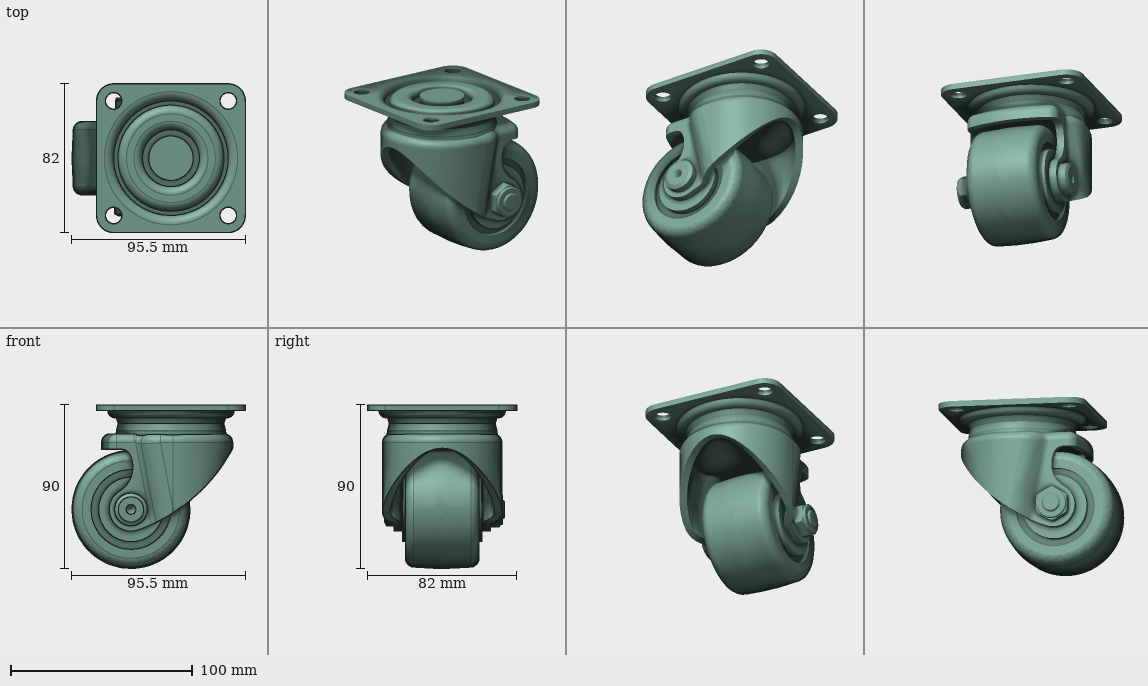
import cadquery as cq
import math


overall_length = 95.5
overall_height = 90.0

plate_side = 82.0
plate_thickness = 3.15
plate_corner_radius = 9.6
plate_hole_radius = 4.5
plate_hole_offset = 31.5

channel_depth = 3.9
channel_outer_radius = 36.7
channel_wall_radius = 31.5
dome_wall_radius = 29.2
dome_flat_radius = 24.45
well_edge_radius = 20.3
well_floor_radius = 15.7
boss_radius = 12.2
underside_radius = 34.8
underside_rounding = 3.9

neck_rim_radius = 30.1
neck_waist_radius = 29.1
neck_waist_z = -10.3
neck_band_height = 0.9
neck_flare_height = 1.0
neck_foot_depth = 1.0
neck_foot_radius = 30.4

fork_top_z = -15.9
sheet_thickness = 4.2
leg_half_width = 26.5
lip_front_x = -38.2
lip_front_radius = 78.3
lip_bottom_z = -24.45
fork_corner_radius = 5.0
fork_edge_rounding = 4.9
barrel_radius = 32.85
barrel_center_x = 1.1
shoulder_start_x = -20.3
shoulder_length = 13.7
shoulder_inner_bend = 3.7
shoulder_lean = 0.19
axle_boss_radius = 11.9

notch_lip_x = -27.1
notch_corner_middle = (-24.3, -25.4)
notch_corner_end = (-22.3, -27.8)
notch_back_middle = (-21.1, -36.5)
notch_end_angle = 122.0

lower_edge_radius = 94.5
lower_edge_start_angle = -70.5

clearance = 1.0

wheel_radius = 32.5
wheel_half_width = 20.2
wheel_edge_radius = 31.3
wheel_edge_rounding = 5.0
groove_outer_radius = 22.0
groove_depth = 2.5
hub_radius = 17.8
hub_half_width = 21.8

bolt_radius = 5.0
bolt_end_y = 34.3
bolt_end_chamfer = 0.8
bolt_head_radius = 9.0
bolt_head_height = 5.3
bolt_head_chamfer_width = 2.0
bolt_head_chamfer_height = 1.05
dimple_radius = 2.7
nut_across_flats = 17.0
nut_turn = 30.0
nut_hex_height = 5.3
nut_corner_rounding = 1.0
nut_end_chamfer_width = 1.0
nut_end_chamfer_height = 0.6
nut_collar_radius = 8.3
nut_collar_height = 1.4
nut_collar_rounding = 0.8

plate_bottom_z = -(channel_depth + plate_thickness)
axle_x = plate_side / 2 - overall_length + wheel_radius
axle_z = wheel_radius - overall_height

lower_edge_angle = math.radians(lower_edge_start_angle)
lower_edge_center_x = axle_x + (axle_boss_radius - lower_edge_radius) * math.cos(lower_edge_angle)
lower_edge_center_z = axle_z + (axle_boss_radius - lower_edge_radius) * math.sin(lower_edge_angle)


def lower_edge_z(x):
    """Height of the fork's lower edge at x."""
    return lower_edge_center_z - math.sqrt(lower_edge_radius**2 - (x - lower_edge_center_x) ** 2)


def axle_workplane(y):
    """Sketch plane across the axle at the given y, with its normal along +Y and local y along +Z."""
    return cq.Workplane(cq.Plane(origin=(axle_x, y, axle_z), xDir=(-1, 0, 0), normal=(0, 1, 0)))


def revolve_on_axle(profile):
    """Revolve a profile of (radius, y) about the axle."""
    turned = profile.close().revolve(360, (0, 0, 0), (0, 1, 0))
    return turned.translate((axle_x, 0, axle_z))


def arc_about(profile, start, end, center):
    """Continue a profile from start to end along the shorter arc about center."""
    radius = math.dist(start, center)
    mid_x = (start[0] + end[0]) / 2 - center[0]
    mid_y = (start[1] + end[1]) / 2 - center[1]
    reach = radius / math.hypot(mid_x, mid_y)
    return profile.threePointArc((center[0] + mid_x * reach, center[1] + mid_y * reach), end)


def bend_into_channel(profile, start_radius, end_radius, going_down):
    """Rounded wall between the plate top and a channel floor, level where it meets the top."""
    run = abs(end_radius - start_radius)
    radius = (run**2 + channel_depth**2) / (2 * channel_depth)
    top_radius = start_radius if going_down else end_radius
    start_z, end_z = (0, -channel_depth) if going_down else (-channel_depth, 0)
    start = (start_radius, start_z)
    end = (end_radius, end_z)
    return arc_about(profile, start, end, (top_radius, -radius))


def plate_pressing():
    """Pressed center of the plate: boss, well, dome and outer channel, turned about Z."""
    profile = (
        cq.Workplane("XZ")
        .lineTo(boss_radius, 0)
        .lineTo(boss_radius, -channel_depth)
        .lineTo(well_floor_radius, -channel_depth)
    )
    profile = bend_into_channel(profile, well_floor_radius, well_edge_radius, False)
    profile = profile.lineTo(dome_flat_radius, 0)
    profile = bend_into_channel(profile, dome_flat_radius, dome_wall_radius, True)
    profile = profile.lineTo(channel_wall_radius, -channel_depth)
    profile = bend_into_channel(profile, channel_wall_radius, channel_outer_radius, False)
    return (
        profile.lineTo(channel_outer_radius, -plate_thickness)
        .lineTo(underside_radius, -plate_thickness)
        .radiusArc((underside_radius - underside_rounding, plate_bottom_z), underside_rounding)
        .lineTo(0, plate_bottom_z)
        .close()
        .revolve(360, (0, 0, 0), (0, 1, 0))
    )


def plate_body():
    """Square plate with four holes and the pressed center."""
    sheet = (
        cq.Workplane("XY")
        .rect(plate_side, plate_side)
        .extrude(-plate_thickness)
        .edges("|Z")
        .fillet(plate_corner_radius)
        .faces(">Z")
        .workplane()
        .rect(2 * plate_hole_offset, 2 * plate_hole_offset, forConstruction=True)
        .vertices()
        .hole(2 * plate_hole_radius)
        .cut(cq.Workplane("XY").circle(channel_outer_radius).extrude(-plate_thickness))
    )
    return sheet.union(plate_pressing())


def fork_slab(inset, top_z, height):
    """Flat-sided front part, with a bowed front and rounded front corners."""
    half_width = leg_half_width - inset
    front_x = lip_front_x + inset
    bow_radius = lip_front_radius - inset
    side_x = front_x + bow_radius - math.sqrt(bow_radius**2 - half_width**2)
    return (
        cq.Workplane("XY", origin=(0, 0, top_z))
        .moveTo(barrel_center_x, -half_width)
        .lineTo(side_x, -half_width)
        .threePointArc((front_x, 0), (side_x, half_width))
        .lineTo(barrel_center_x, half_width)
        .close()
        .extrude(-height)
        .edges("|Z")
        .edges("<X")
        .fillet(fork_corner_radius - inset)
    )


def fork_shoulder(inset, top_z, height):
    """S-curved widening from the flat legs to the barrel, leaning back towards the bottom."""
    rise = barrel_radius - leg_half_width
    turn = 2 * math.atan2(rise, shoulder_length)
    outer_bend = shoulder_length / math.sin(turn) - shoulder_inner_bend
    hollow = shoulder_inner_bend + inset
    bulge = outer_bend - inset
    start_x = shoulder_start_x + shoulder_lean * (fork_top_z - top_z)
    end_x = start_x + shoulder_length
    low_y = leg_half_width - inset
    high_y = barrel_radius - inset
    end_center = (end_x, high_y - bulge)

    def hollow_point(angle):
        return (start_x + hollow * math.sin(angle), low_y + hollow * (1 - math.cos(angle)))

    def bulge_point(angle):
        return (end_center[0] - bulge * math.sin(angle), end_center[1] + bulge * math.cos(angle))

    def mirrored(point):
        return (point[0], -point[1])

    back_x = barrel_center_x + barrel_radius
    outline = (
        cq.Workplane("XY", origin=(0, 0, top_z))
        .moveTo(start_x, -low_y)
        .lineTo(start_x, low_y)
        .threePointArc(hollow_point(turn / 2), hollow_point(turn))
        .threePointArc(bulge_point(turn / 2), (end_x, high_y))
        .lineTo(back_x, high_y)
        .lineTo(back_x, -high_y)
        .lineTo(end_x, -high_y)
        .threePointArc(mirrored(bulge_point(turn / 2)), mirrored(bulge_point(turn)))
        .threePointArc(mirrored(hollow_point(turn / 2)), (start_x, -low_y))
        .wire()
    )
    lean = cq.Vector(shoulder_lean * height, 0, -height)
    leaning = cq.Workplane(cq.Solid.extrudeLinear(outline.val(), [], lean))
    ahead_of_barrel = (
        cq.Workplane("XY", origin=(barrel_center_x - barrel_radius, 0, top_z))
        .rect(2 * barrel_radius, 2 * barrel_radius)
        .extrude(-height)
    )
    return leaning.intersect(ahead_of_barrel)


def fork_barrel(inset, top_z, height):
    """Half-round back of the fork."""
    radius = barrel_radius - inset
    return (
        cq.Workplane("XY", origin=(barrel_center_x, 0, top_z))
        .moveTo(0, -radius)
        .threePointArc((radius, 0), (0, radius))
        .close()
        .extrude(-height)
    )


def fork_block(inset):
    """Solid block inside the fork's outer skin moved inwards by inset."""
    top_z = fork_top_z - inset
    height = overall_height + top_z
    return (
        fork_slab(inset, top_z, height)
        .union(fork_shoulder(inset, top_z, height))
        .union(fork_barrel(inset, top_z, height))
        .clean()
        .faces(">Z")
        .edges()
        .fillet(fork_edge_rounding - inset)
    )


def fork_side_outline():
    """Region kept in side view: front lip, hooked legs, and the full height of the barrel."""
    middle_x = (axle_x + barrel_center_x) / 2
    back_x = barrel_center_x + barrel_radius + clearance

    def boss_point(angle):
        return (
            axle_x + axle_boss_radius * math.cos(angle),
            axle_z + axle_boss_radius * math.sin(angle),
        )

    return (
        cq.Workplane("XZ")
        .moveTo(lip_front_x - clearance, 0)
        .lineTo(lip_front_x - clearance, lip_bottom_z)
        .lineTo(notch_lip_x, lip_bottom_z)
        .threePointArc(notch_corner_middle, notch_corner_end)
        .threePointArc(notch_back_middle, boss_point(math.radians(notch_end_angle)))
        .threePointArc((axle_x - axle_boss_radius, axle_z), boss_point(lower_edge_angle))
        .threePointArc(
            (middle_x, lower_edge_z(middle_x)),
            (barrel_center_x, lower_edge_z(barrel_center_x)),
        )
        .lineTo(barrel_center_x, -overall_height)
        .lineTo(back_x, -overall_height)
        .lineTo(back_x, 0)
        .close()
        .extrude(barrel_radius + clearance, both=True)
    )


def below_barrel_edge():
    """Space under the barrel, whose lower edge is cut square to its curved wall."""

    def edge_curve(radius):
        def point(angle):
            x = barrel_center_x + barrel_radius * math.cos(angle)
            return (
                barrel_center_x + radius * math.cos(angle),
                radius * math.sin(angle),
                lower_edge_z(x),
            )

        curve = cq.Workplane("XY").parametricCurve(
            point, start=-math.pi / 2, stop=math.pi / 2, makeWire=False
        )
        return curve.val()

    edge_face = cq.Face.makeRuledSurface(
        edge_curve(barrel_radius - 2 * sheet_thickness),
        edge_curve(barrel_radius + sheet_thickness),
    )
    return cq.Workplane(cq.Solid.extrudeLinear(edge_face, cq.Vector(0, 0, -overall_height)))


def fork_neck():
    """Waisted neck that carries the plate, with a flared foot on the fork."""
    band_bottom_z = fork_top_z + neck_flare_height
    band_top_z = band_bottom_z + neck_band_height
    foot_z = fork_top_z - neck_foot_depth
    return (
        cq.Workplane("XZ")
        .moveTo(0, plate_bottom_z)
        .lineTo(neck_rim_radius, plate_bottom_z)
        .lineTo(neck_waist_radius, neck_waist_z)
        .lineTo(neck_rim_radius, band_top_z)
        .lineTo(neck_rim_radius, band_bottom_z)
        .lineTo(neck_foot_radius, fork_top_z)
        .lineTo(neck_foot_radius, foot_z)
        .lineTo(0, foot_z)
        .close()
        .revolve(360, (0, 0, 0), (0, 1, 0))
    )


def fork_leg_zone(half_width):
    """Block of the given half width below the lip, from the axle forwards."""
    length = axle_x - lip_front_x
    height = overall_height + lip_bottom_z
    return (
        cq.Workplane("XY", origin=(axle_x - length / 2, 0, lip_bottom_z))
        .rect(length, 2 * half_width)
        .extrude(-height)
    )


def fork_body():
    """Sheet shell trimmed to its side outline, with flat leg ends and the neck."""
    shell = fork_block(0).cut(fork_block(sheet_thickness))
    leg_fronts = fork_leg_zone(leg_half_width).cut(fork_leg_zone(leg_half_width - sheet_thickness))
    axle_hole = axle_workplane(-barrel_radius).circle(bolt_radius).extrude(2 * barrel_radius)
    return (
        shell.cut(fork_leg_zone(barrel_radius))
        .union(leg_fronts)
        .intersect(fork_side_outline())
        .cut(below_barrel_edge())
        .union(fork_neck())
        .cut(axle_hole)
    )


def wheel_body():
    """Crowned wheel with a raised hub and a ring groove on each side."""
    tread = revolve_on_axle(
        cq.Workplane("XY")
        .moveTo(0, -wheel_half_width)
        .lineTo(wheel_edge_radius, -wheel_half_width)
        .threePointArc((wheel_radius, 0), (wheel_edge_radius, wheel_half_width))
        .lineTo(0, wheel_half_width)
    )
    wheel = tread.edges().fillet(wheel_edge_rounding)
    groove_floor_y = wheel_half_width - groove_depth
    for side in (-1, 1):
        groove = (
            axle_workplane(side * groove_floor_y)
            .circle(groove_outer_radius)
            .circle(hub_radius)
            .extrude(side * groove_depth)
        )
        wheel = wheel.cut(groove)
    hub = axle_workplane(-hub_half_width).circle(hub_radius).extrude(2 * hub_half_width)
    bore = axle_workplane(-hub_half_width).circle(bolt_radius).extrude(2 * hub_half_width)
    return wheel.union(hub).cut(bore)


def bolt_body():
    """Round-headed bolt with a center dimple, turned about the axle."""
    head_y = -leg_half_width - bolt_head_height
    return revolve_on_axle(
        cq.Workplane("XY")
        .moveTo(0, head_y + dimple_radius)
        .lineTo(dimple_radius, head_y)
        .lineTo(bolt_head_radius - bolt_head_chamfer_width, head_y)
        .lineTo(bolt_head_radius, head_y + bolt_head_chamfer_height)
        .lineTo(bolt_head_radius, -leg_half_width)
        .lineTo(bolt_radius, -leg_half_width)
        .lineTo(bolt_radius, bolt_end_y - bolt_end_chamfer)
        .lineTo(bolt_radius - bolt_end_chamfer, bolt_end_y)
        .lineTo(0, bolt_end_y)
    )


def nut_body():
    """Hexagon nut with rounded corners and a round collar."""
    corner_radius = nut_across_flats / 2 / math.cos(math.pi / 6)
    seat_y = leg_half_width
    hex_top_y = seat_y + nut_hex_height
    end_radius = corner_radius - nut_end_chamfer_width
    hexagon = (
        axle_workplane(seat_y)
        .transformed(rotate=(0, 0, nut_turn))
        .polygon(6, 2 * corner_radius)
        .extrude(nut_hex_height)
        .edges("|Y")
        .fillet(nut_corner_rounding)
    )
    chamfer_envelope = revolve_on_axle(
        cq.Workplane("XY")
        .moveTo(0, seat_y)
        .lineTo(end_radius, seat_y)
        .lineTo(corner_radius, seat_y + nut_end_chamfer_height)
        .lineTo(corner_radius, hex_top_y - nut_end_chamfer_height)
        .lineTo(end_radius, hex_top_y)
        .lineTo(0, hex_top_y)
    )
    collar = (
        axle_workplane(hex_top_y)
        .circle(nut_collar_radius)
        .extrude(nut_collar_height)
        .faces(">Y")
        .edges()
        .fillet(nut_collar_rounding)
    )
    bore = axle_workplane(seat_y).circle(bolt_radius).extrude(nut_hex_height + nut_collar_height)
    return hexagon.intersect(chamfer_envelope).union(collar).cut(bore)


plate = plate_body()
fork = fork_body()
wheel = wheel_body()
bolt = bolt_body()
nut = nut_body()

result = cq.Compound.makeCompound(
    [
        *plate.solids().vals(),
        *fork.solids().vals(),
        *wheel.solids().vals(),
        *bolt.solids().vals(),
        *nut.solids().vals(),
    ]
)